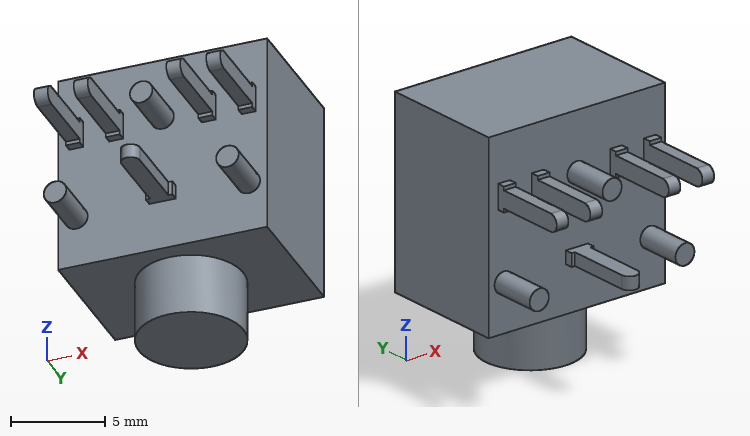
import cadquery as cq

body_width = 12.0
body_depth = 8.0
total_height = 15.1
barrel_diameter = 6.0
barrel_length = 3.5

peg_diameter = 1.3
peg_length = 3.0
upper_row_z = total_height - 3.6
lower_peg_z = upper_row_z - 5.06
outer_x = 4.95

terminal_length = 5.0
terminal_thickness = 0.8
blade_width = 1.05
shoulder_width = 1.51
shoulder_length = 0.5
inner_x = 2.66
lower_terminal_z = lower_peg_z + 0.35

embed = 0.15


def make_body():
    housing = cq.Workplane("XY").box(
        body_width, body_depth, total_height - barrel_length, centered=(True, False, False)
    ).translate((0, 0, barrel_length))
    barrel = (
        cq.Workplane("XY")
        .center(0, body_depth / 2)
        .circle(barrel_diameter / 2)
        .extrude(barrel_length + embed)
    )
    return housing.union(barrel)


def make_peg(x, z):
    peg = cq.Workplane("XZ").circle(peg_diameter / 2).extrude(peg_length + embed)
    return peg.translate((x, embed, z))


def make_terminal():
    """Terminal lying flat in XY, centred on the origin and pointing toward -Y."""
    half_blade = blade_width / 2
    half_shoulder = shoulder_width / 2
    tip_start = half_blade - terminal_length
    return (
        cq.Workplane("XY")
        .moveTo(-half_shoulder, embed)
        .lineTo(-half_shoulder, -shoulder_length)
        .lineTo(-half_blade, -shoulder_length)
        .lineTo(-half_blade, tip_start)
        .threePointArc((0, -terminal_length), (half_blade, tip_start))
        .lineTo(half_blade, -shoulder_length)
        .lineTo(half_shoulder, -shoulder_length)
        .lineTo(half_shoulder, embed)
        .close()
        .extrude(terminal_thickness / 2, both=True)
    )


result = make_body()

for x, z in [(0, upper_row_z), (-outer_x, lower_peg_z), (outer_x, lower_peg_z)]:
    result = result.union(make_peg(x, z))

flat_terminal = make_terminal()
upright_terminal = flat_terminal.rotate((0, 0, 0), (0, 1, 0), 90)
for x in (-outer_x, -inner_x, inner_x, outer_x):
    result = result.union(upright_terminal.translate((x, 0, upper_row_z)))
result = result.union(flat_terminal.translate((0, 0, lower_terminal_z)))